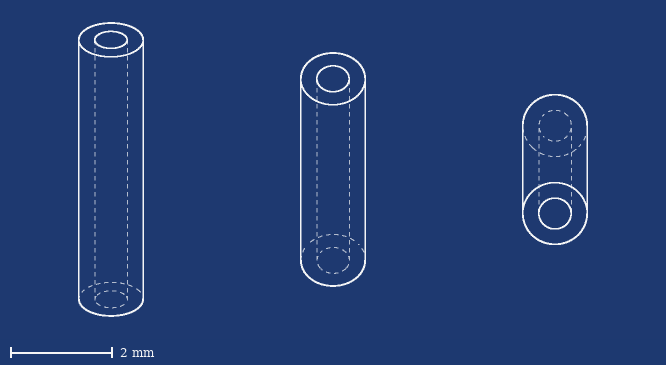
import cadquery as cq

length = 5.99
outer_diameter = 1.27
bore_diameter = outer_diameter / 2

tube_section = cq.Workplane("XY").circle(outer_diameter / 2).circle(bore_diameter / 2)
result = tube_section.extrude(length)